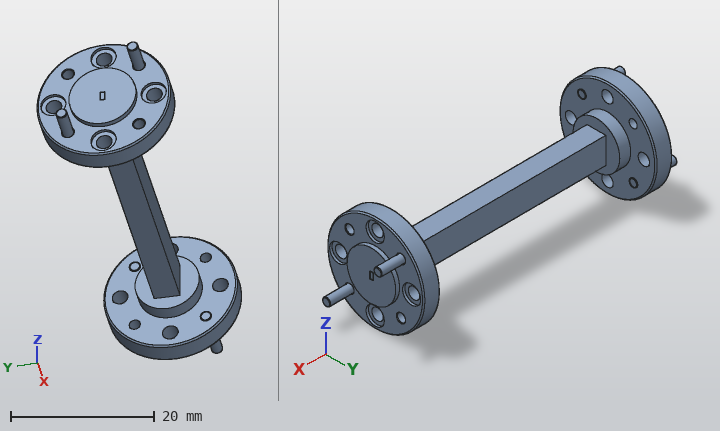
import cadquery as cq
import math

overall_length = 58.55

mating_face_x = 25.4
flange_outer_x = 24.65
flange_inner_x = 21.3
collar_inner_x = 19.15
flange_thickness = flange_outer_x - flange_inner_x

flange_diameter = 19.0
flange_chamfer = 0.25
mating_diameter = 9.55
collar_diameter = 9.15

tube_width = 3.7
tube_height = 5.15
port_width = 0.65
port_height = 1.3
port_depth = 0.1

pitch_radius = 7.15
bolt_hole_diameter = 2.2
counterbore_diameter = 3.6
counterbore_depth = 0.45
pin_diameter = 1.6
pin_chamfer = 0.1
pin_hole_countersink = 0.1
countersink_taper = 45

bolt_angles = [0, 90, 180, 270]
pin_hole_angles = [45, 135, 225, 315]
left_pin_angles = [135, 315]
right_pin_angles = [45, 225]


def plane_at(x):
    """Plane across the X axis, with local coordinates (Y, Z) and its normal along +X."""
    return cq.Workplane("YZ", origin=(x, 0, 0))


def disc(diameter, start_x, end_x):
    """Cylinder on the X axis between two positions."""
    return plane_at(start_x).circle(diameter / 2).extrude(end_x - start_x)


def pitch_points(angles):
    """(Y, Z) positions on the pitch circle."""
    return [
        (pitch_radius * math.cos(math.radians(angle)), pitch_radius * math.sin(math.radians(angle)))
        for angle in angles
    ]


def hole_cutters(angles, diameter, depth, taper=0):
    """Cutters on the pitch circle that go inward from the outer face of the right flange."""
    circles = plane_at(flange_outer_x).pushPoints(pitch_points(angles)).circle(diameter / 2)
    return circles.extrude(-depth, taper=taper)


def make_right_flange():
    """Chamfered flange with its raised mating face, inner collar, holes and waveguide port."""
    flange = disc(flange_diameter, flange_inner_x, flange_outer_x).edges().chamfer(flange_chamfer)
    flange = flange.union(disc(mating_diameter, flange_inner_x, mating_face_x))
    flange = flange.union(disc(collar_diameter, collar_inner_x, flange_outer_x))

    flange = flange.cut(hole_cutters(bolt_angles, bolt_hole_diameter, flange_thickness))
    flange = flange.cut(hole_cutters(bolt_angles, counterbore_diameter, counterbore_depth))

    countersink_diameter = pin_diameter + 2 * pin_hole_countersink
    flange = flange.cut(hole_cutters(pin_hole_angles, pin_diameter, flange_thickness))
    flange = flange.cut(
        hole_cutters(pin_hole_angles, countersink_diameter, pin_hole_countersink, countersink_taper)
    )

    port = plane_at(mating_face_x).rect(port_width, port_height).extrude(-port_depth)
    return flange.cut(port)


def make_waveguide():
    """Rectangular tube with a mirrored pair of flanges, as one body."""
    right_flange = make_right_flange()
    left_flange = right_flange.mirror("YZ")
    tube = plane_at(-collar_inner_x).rect(tube_width, tube_height).extrude(2 * collar_inner_x)
    return tube.union(right_flange).union(left_flange)


def make_pin(position, side):
    """Dowel pin, flush with the inner flange face; side is +1 for the right flange, -1 for the left."""
    y, z = position
    length = overall_length / 2 - flange_inner_x
    pin = plane_at(side * flange_inner_x).center(y, z).circle(pin_diameter / 2).extrude(side * length)
    return pin.faces("<X or >X").chamfer(pin_chamfer)


waveguide = make_waveguide()
left_pins = [make_pin(point, -1).val() for point in pitch_points(left_pin_angles)]
right_pins = [make_pin(point, 1).val() for point in pitch_points(right_pin_angles)]

result = cq.Compound.makeCompound([waveguide.solids().val(), *left_pins, *right_pins])